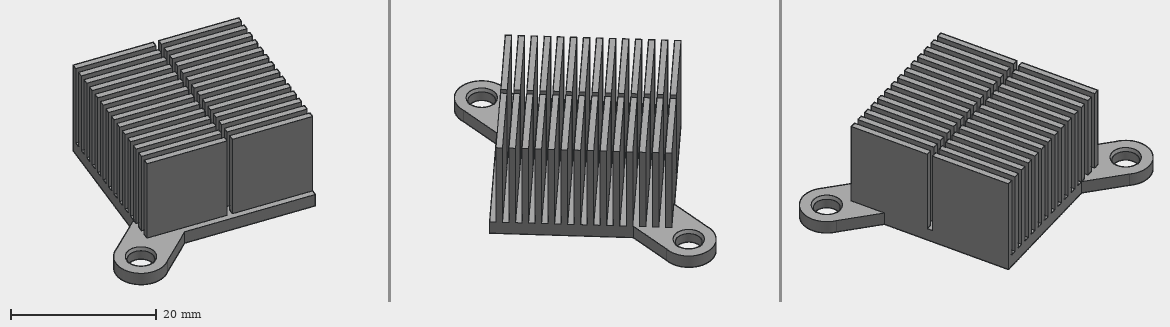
import cadquery as cq
import math

block_side = 25.1
total_height = 15.0
base_thickness = 2.0
fin_count = 14
fin_pitch = block_side / fin_count
fin_thickness = fin_pitch / 2
cross_slot_width = 0.8

ear_diagonal_angle = -45
ear_spacing = 30.0
ear_diameter = 7.55
ear_web_width = 7.5
hole_rim_diameter = 4.3
hole_rim_depth = .5
upper_left_hole_diameter = 3.7
lower_right_hole_diameter = 3.8
upper_left = (-ear_spacing / 2, ear_spacing / 2)
lower_right = (ear_spacing / 2, -ear_spacing / 2)
ear_centers = [upper_left, lower_right]


def make_base():
    """Square plate that carries the fins."""
    return cq.Workplane("XY").box(block_side, block_side, base_thickness, centered=(True, True, False))


def make_fins():
    """Parallel fins along Y; each is followed by a gap on its +X side."""
    fin_height = total_height - base_thickness
    fins = cq.Workplane("XY")
    for index in range(fin_count):
        fin_left = -block_side / 2 + index * fin_pitch
        fin = (
            cq.Workplane("XY")
            .box(fin_thickness, block_side, fin_height, centered=(False, True, False))
            .translate((fin_left, 0, base_thickness))
        )
        fins = fins.add(fin)
    cross_slot = (
        cq.Workplane("XY")
        .box(block_side, cross_slot_width, fin_height, centered=(True, True, False))
        .translate((0, 0, base_thickness))
    )
    return fins.combine().cut(cross_slot)


def make_ears():
    """Round ears joined by a diagonal web that runs through the base."""
    web_length = ear_spacing * math.sqrt(2)
    chord_offset = math.sqrt(ear_diameter**2 - ear_web_width**2) / 2
    web = (
        cq.Workplane("XY")
        .box(web_length - 2 * chord_offset, ear_web_width, base_thickness, centered=(True, True, False))
        .rotate((0, 0, 0), (0, 0, 1), ear_diagonal_angle)
    )
    discs = cq.Workplane("XY").pushPoints(ear_centers).circle(ear_diameter / 2).extrude(base_thickness)
    return web.union(discs)


def make_hole(center, diameter):
    """Through hole with a chamfered upper rim."""
    bore = cq.Workplane("XY").center(*center).circle(diameter / 2).extrude(base_thickness)
    rim = (
        cq.Workplane("XY", origin=(0, 0, base_thickness - hole_rim_depth))
        .center(*center)
        .circle(diameter / 2)
        .workplane(offset=hole_rim_depth)
        .circle(hole_rim_diameter / 2)
        .loft()
    )
    return bore.union(rim)


result = make_base().union(make_ears()).union(make_fins())
result = result.cut(make_hole(upper_left, upper_left_hole_diameter))
result = result.cut(make_hole(lower_right, lower_right_hole_diameter))